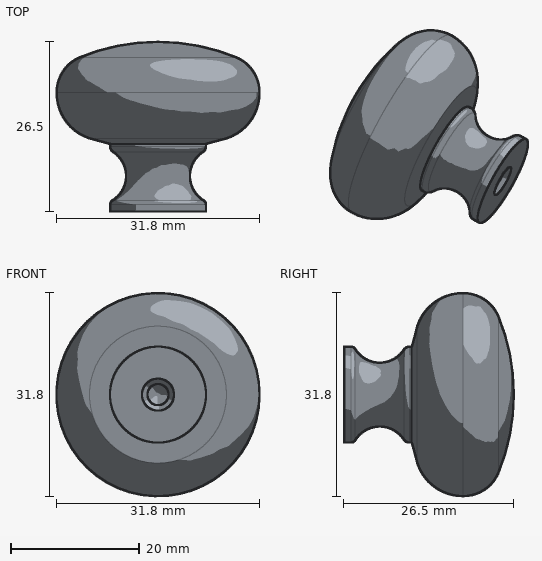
import cadquery as cq
import math


height = 26.5
head_radius = 31.75 / 2

equator_height = 18.55
crown_rim_radius = 12.3
crown_rim_height = 24.05
underside_radius = 10.7
underside_height = 11.4
collar_top_height = 10.54

stem_radius = 7.5
waist_radius = 5.0
waist_height = 5.55
neck_arc_radius = 4.5
base_fillet_radius = 0.76
collar_fillet_radius = 1.0

hole_radius = 1.65
hole_depth = 12.0
countersink_radius = 2.5
countersink_depth = countersink_radius - hole_radius
drill_point_angle = math.radians(118)


def equator_arc_middle(end_radius, end_height):
    """Middle of the arc that leaves the equator parallel to Y and stops at the given point."""
    inset = head_radius - end_radius
    rise = end_height - equator_height
    arc_radius = (inset ** 2 + rise ** 2) / (2 * inset)
    half_sweep = math.atan2(rise, arc_radius - inset) / 2
    return (
        head_radius - arc_radius * (1 - math.cos(half_sweep)),
        equator_height + arc_radius * math.sin(half_sweep),
    )


def crown_arc_middle():
    """Point half way along the spherical crown, between its rim and the apex."""
    rise = height - crown_rim_height
    sphere_radius = (crown_rim_radius ** 2 + rise ** 2) / (2 * rise)
    half_sweep = math.asin(crown_rim_radius / sphere_radius) / 2
    return (
        sphere_radius * math.sin(half_sweep),
        height - sphere_radius * (1 - math.cos(half_sweep)),
    )


def stem_fillet(fillet_radius, side):
    """Start, middle and end of the fillet from the stem rim to the neck arc.

    side is -1 for the base rim below the waist and +1 for the collar above it.
    """
    center_radius = stem_radius - fillet_radius
    neck_center_radius = waist_radius + neck_arc_radius
    center_distance = neck_arc_radius + fillet_radius
    sweep = math.acos((neck_center_radius - center_radius) / center_distance)
    center_height = waist_height + side * center_distance * math.sin(sweep)

    def point_at(angle):
        return (
            center_radius + fillet_radius * math.cos(angle),
            center_height - side * fillet_radius * math.sin(angle),
        )

    return point_at(0), point_at(sweep / 2), point_at(sweep)


def make_knob():
    base_rim, base_middle, neck_bottom = stem_fillet(base_fillet_radius, -1)
    collar_rim, collar_middle, neck_top = stem_fillet(collar_fillet_radius, 1)
    underside_edge = (underside_radius, underside_height)
    equator = (head_radius, equator_height)
    crown_rim = (crown_rim_radius, crown_rim_height)
    profile = (
        cq.Workplane("XY")
        .lineTo(stem_radius, 0)
        .lineTo(*base_rim)
        .threePointArc(base_middle, neck_bottom)
        .threePointArc((waist_radius, waist_height), neck_top)
        .threePointArc(collar_middle, collar_rim)
        .lineTo(stem_radius, collar_top_height)
        .lineTo(*underside_edge)
        .threePointArc(equator_arc_middle(*underside_edge), equator)
        .threePointArc(equator_arc_middle(*crown_rim), crown_rim)
        .threePointArc(crown_arc_middle(), (0, height))
        .close()
    )
    return profile.revolve(360, (0, 0), (0, 1))


def make_screw_hole():
    """Countersunk blind hole with a conical drill point."""
    drill_point_depth = hole_radius / math.tan(drill_point_angle / 2)
    profile = (
        cq.Workplane("XY")
        .lineTo(countersink_radius, 0)
        .lineTo(hole_radius, countersink_depth)
        .lineTo(hole_radius, hole_depth)
        .lineTo(0, hole_depth + drill_point_depth)
        .close()
    )
    return profile.revolve(360, (0, 0), (0, 1))


result = make_knob().cut(make_screw_hole())